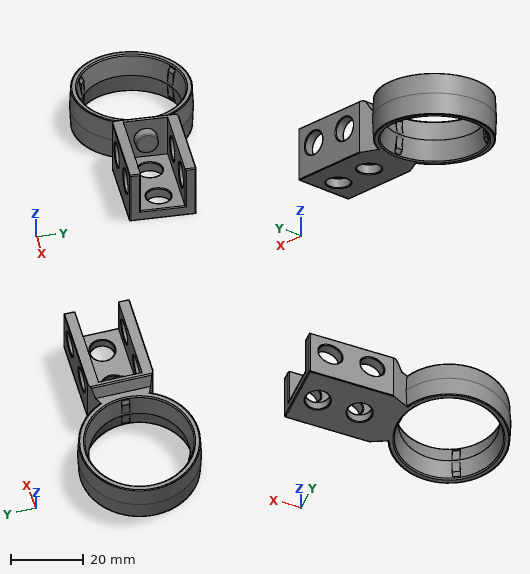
import cadquery as cq
import math

ring_height = 12.5
ring_waist_diameter = 34.3
ring_waist_radius = ring_waist_diameter / 2
ring_rim_radius = 16.9
bore_waist_radius = 14.0
bore_rim_radius = 15.1
outer_rim_chamfer_width = 0.3
outer_rim_chamfer_height = 0.2
bore_rim_chamfer = 0.4

pad_count = 3
pad_width = 2.25
pad_waist_distance = 14.05
pad_end_distance = 14.3
pad_ramp_angle = 60.0
pad_end_gap = 0.3
pad_ramp_end_distance = 15.3
pad_root_distance = 15.6

overall_length = 62.5
fork_end = overall_length - ring_waist_radius
fork_length = 25.0
fork_start = fork_end - fork_length
slot_start = 20.2
fork_width = 18.75
fork_height = 15.6
fork_wall = 3.1
fork_floor = 3.1
edge_chamfer = 0.3
long_edge_chamfer = 0.2

neck_root_x = 12.5
neck_root_width = 11.25
neck_slope_foot_x = 17.2
neck_slope_angle = 60.0

hole_diameter = 7.0
hole_chamfer = 0.25
hole_count = 2
hole_pitch = fork_length / hole_count
hole_height = (fork_height + fork_floor) / 2
pin_base_diameter = 6.5
pin_tip_diameter = 6.25
pin_length = 2.8
pin_tip_fillet = 0.3


def make_ring_body():
    """Solid disc of two shallow cones that meet at mid height."""
    mid = ring_height / 2
    flat_radius = ring_rim_radius - outer_rim_chamfer_width
    step = outer_rim_chamfer_height
    return (
        cq.Workplane("XZ")
        .moveTo(0, 0)
        .lineTo(flat_radius, 0)
        .lineTo(ring_rim_radius, step)
        .lineTo(ring_waist_radius, mid)
        .lineTo(ring_rim_radius, ring_height - step)
        .lineTo(flat_radius, ring_height)
        .lineTo(0, ring_height)
        .close()
        .revolve(360, (0, 0, 0), (0, 1, 0))
    )


def make_bore():
    """Two cones that narrow to mid height, with chamfered rims."""
    mid = ring_height / 2
    step = bore_rim_chamfer
    return (
        cq.Workplane("XZ")
        .moveTo(0, 0)
        .lineTo(bore_rim_radius + step, 0)
        .lineTo(bore_rim_radius, step)
        .lineTo(bore_waist_radius, mid)
        .lineTo(bore_rim_radius, ring_height - step)
        .lineTo(bore_rim_radius + step, ring_height)
        .lineTo(0, ring_height)
        .close()
        .revolve(360, (0, 0, 0), (0, 1, 0))
    )


def make_pad(angle):
    """Upright pad with ramped ends, turned about the ring axis."""
    bottom = pad_end_gap
    top = ring_height - pad_end_gap
    ramp_run = pad_ramp_end_distance - pad_end_distance
    ramp_rise = ramp_run * math.tan(math.radians(pad_ramp_angle))
    return (
        cq.Workplane("XZ")
        .moveTo(pad_root_distance, bottom)
        .lineTo(pad_ramp_end_distance, bottom)
        .lineTo(pad_end_distance, bottom + ramp_rise)
        .lineTo(pad_waist_distance, ring_height / 2)
        .lineTo(pad_end_distance, top - ramp_rise)
        .lineTo(pad_ramp_end_distance, top)
        .lineTo(pad_root_distance, top)
        .close()
        .extrude(pad_width / 2, both=True)
        .rotate((0, 0, 0), (0, 0, 1), angle)
    )


def make_fork_slot():
    """Space between the cheeks, open at the top and the far end."""
    slot_width = fork_width - 2 * fork_wall
    return (
        cq.Workplane("XY", origin=(slot_start, 0, fork_floor))
        .box(fork_end - slot_start, slot_width, fork_height, centered=(False, True, False))
    )


def make_bracket():
    """Fork and the tapered, stepped neck that joins it to the ring."""
    slope_run = (fork_height - ring_height) / math.tan(math.radians(neck_slope_angle))
    plan = (
        cq.Workplane("XY")
        .moveTo(neck_root_x, -neck_root_width / 2)
        .lineTo(fork_start, -fork_width / 2)
        .lineTo(fork_end, -fork_width / 2)
        .lineTo(fork_end, fork_width / 2)
        .lineTo(fork_start, fork_width / 2)
        .lineTo(neck_root_x, neck_root_width / 2)
        .close()
        .extrude(fork_height)
        .cut(make_fork_slot())
        .faces(">X")
        .chamfer(edge_chamfer)
    )
    side = (
        cq.Workplane("XZ")
        .moveTo(0, 0)
        .lineTo(fork_end, 0)
        .lineTo(fork_end, fork_height)
        .lineTo(neck_slope_foot_x + slope_run, fork_height)
        .lineTo(neck_slope_foot_x, ring_height)
        .lineTo(0, ring_height)
        .close()
        .extrude(fork_width, both=True)
    )
    body = plan.intersect(side)
    slope_top = cq.selectors.NearestToPointSelector((neck_slope_foot_x + slope_run, 0, fork_height))
    body = body.edges(slope_top).chamfer(edge_chamfer)
    for y in (-fork_width / 2, fork_width / 2):
        for z in (0, fork_height):
            long_edge = cq.selectors.NearestToPointSelector(((fork_start + fork_end) / 2, y, z))
            body = body.edges(long_edge).chamfer(long_edge_chamfer)
    return body


def make_pin():
    """Slightly tapered stop pin on the back wall of the slot."""
    return (
        cq.Workplane("YZ", origin=(slot_start, 0, hole_height))
        .circle(pin_base_diameter / 2)
        .workplane(offset=pin_length)
        .circle(pin_tip_diameter / 2)
        .loft(ruled=True)
        .faces(">X")
        .edges()
        .fillet(pin_tip_fillet)
    )


def make_hole(length):
    """Hole along Z from 0 to length, flared at both ends."""
    radius = hole_diameter / 2
    wide = radius + hole_chamfer
    return (
        cq.Workplane("XZ")
        .moveTo(0, 0)
        .lineTo(wide, 0)
        .lineTo(radius, hole_chamfer)
        .lineTo(radius, length - hole_chamfer)
        .lineTo(wide, length)
        .lineTo(0, length)
        .close()
        .revolve(360, (0, 0, 0), (0, 1, 0))
    )


result = make_ring_body().union(make_bracket()).cut(make_bore())
for index in range(pad_count):
    result = result.union(make_pad(index * 360 / pad_count))
result = result.union(make_pin())

floor_hole = make_hole(fork_floor)
wall_hole = make_hole(fork_wall).rotate((0, 0, 0), (1, 0, 0), 90)
for index in range(hole_count):
    hole_x = fork_start + hole_pitch * (index + 0.5)
    result = result.cut(floor_hole.translate((hole_x, 0, 0)))
    for wall_y in (fork_width / 2, -fork_width / 2 + fork_wall):
        result = result.cut(wall_hole.translate((hole_x, wall_y, hole_height)))